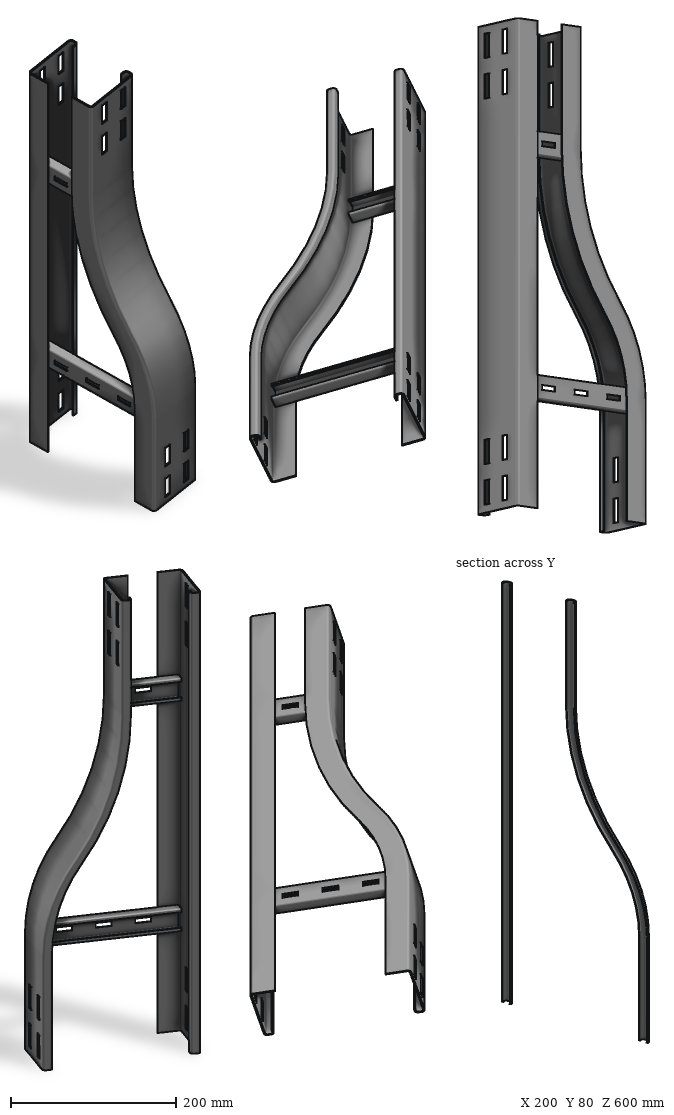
import cadquery as cq
import math

length = 600.0
wide_width = length / 3
narrow_width = wide_width / 2
depth = 0.4 * wide_width
hole_grid = length / 12

sheet = 1.9
bend_radius = 4.5
front_flange = 31.0
back_flange = 12.5
lip_depth = 9.5

bend_start = 150.0
bend_end = length - bend_start
upper_radius = 300.0
bend_rise = bend_end - bend_start
bend_shift = wide_width - narrow_width
bend_angle = 2 * math.atan(bend_shift / bend_rise)
lower_radius = bend_rise / math.sin(bend_angle) - upper_radius

slot_width = 9.0
slot_length = 30.0
slot_rows = (25.0, 60.0)
slot_pitch = hole_grid
slot_end_distance = hole_grid / 2

rung_height = 30.0
rung_depth = 15.0
rung_lip = 5.0
rung_bend_radius = 2.1
rung_clearance = 5.5
rung_slot_length = 20.0
rung_slot_width = 6.0
rung_slot_pitch = hole_grid

same_point = 0.005


def bent_strip(outer, inner, radius):
    """Closed outline of a bent sheet, from the corners of its outer and inner faces.

    radius is the bend radius of the outer face; both faces are rounded about the same centre.
    """
    corners = outer + inner[::-1]
    outline = cq.Wire.makePolygon([cq.Vector(*p) for p in corners], close=True)
    for face_corners, corner_radius in ((outer, radius), (inner, radius - sheet)):
        bends = [cq.Vector(*p) for p in face_corners[1:-1]]
        rounded = [
            vertex
            for vertex in outline.Vertices()
            if any((vertex.Center() - bend).Length < same_point for bend in bends)
        ]
        outline = outline.fillet2D(corner_radius, rounded)
    return outline


def rail_profile(web_x, side, z):
    """Rail section at height z; side is +1 or -1, the X direction in which the flanges point."""

    def point(reach, y):
        return (web_x + side * reach, y, z)

    outer = [
        point(front_flange, 0),
        point(0, 0),
        point(0, depth),
        point(back_flange, depth),
        point(back_flange, depth - lip_depth),
    ]
    inner = [
        point(front_flange, sheet),
        point(sheet, sheet),
        point(sheet, depth - sheet),
        point(back_flange - sheet, depth - sheet),
        point(back_flange - sheet, depth - lip_depth),
    ]
    return bent_strip(outer, inner, bend_radius)


def web_slots(web_x, end_distances):
    """Cutters for the slots through the web of a rail."""
    places = [(y, z) for y in slot_rows for z in end_distances]
    return (
        cq.Workplane("YZ", origin=(web_x, 0, 0))
        .pushPoints(places)
        .rect(slot_width, slot_length)
        .extrude(bend_radius, both=True)
    )


bottom_slots = [slot_end_distance, slot_end_distance + slot_pitch]
top_slots = [length - z for z in bottom_slots]


def make_straight_rail():
    """Straight rail along the X = 0 side."""
    profile = rail_profile(0, 1, 0)
    rail = cq.Workplane(cq.Solid.extrudeLinear(profile, [], cq.Vector(0, 0, length)))
    return rail.cut(web_slots(0, bottom_slots + top_slots))


def make_curved_rail():
    """Rail that leads from the wide bottom to the narrow top through an S-bend."""

    def arc_point(center_x, center_z, radius, angle):
        return (center_x + radius * math.cos(angle), center_z + radius * math.sin(angle))

    lower_center = (wide_width - lower_radius, bend_start)
    upper_center = (narrow_width + upper_radius, bend_end)
    path = (
        cq.Workplane("XZ")
        .moveTo(wide_width, 0)
        .lineTo(wide_width, bend_start)
        .threePointArc(
            arc_point(*lower_center, lower_radius, bend_angle / 2),
            arc_point(*lower_center, lower_radius, bend_angle),
        )
        .threePointArc(
            arc_point(*upper_center, upper_radius, math.pi + bend_angle / 2),
            (narrow_width, bend_end),
        )
        .lineTo(narrow_width, length)
    )
    profile = rail_profile(wide_width, -1, 0)
    rail = cq.Workplane(cq.Solid.sweep(profile, [], path.wire().val()))
    return rail.cut(web_slots(wide_width, bottom_slots)).cut(web_slots(narrow_width, top_slots))


def make_rung(z, ladder_width, slot_count):
    """Rung centred at height z, open to the back, with a row of slots through its front."""
    front = sheet
    back = front + rung_depth
    half = rung_height / 2
    start = rung_clearance

    outer = [
        (start, back, z - half + rung_lip),
        (start, back, z - half),
        (start, front, z - half),
        (start, front, z + half),
        (start, back, z + half),
        (start, back, z + half - rung_lip),
    ]
    inner = [
        (start, back - sheet, z - half + rung_lip),
        (start, back - sheet, z - half + sheet),
        (start, front + sheet, z - half + sheet),
        (start, front + sheet, z + half - sheet),
        (start, back - sheet, z + half - sheet),
        (start, back - sheet, z + half - rung_lip),
    ]
    profile = bent_strip(outer, inner, rung_bend_radius)
    span = ladder_width - 2 * rung_clearance
    rung = cq.Workplane(cq.Solid.extrudeLinear(profile, [], cq.Vector(span, 0, 0)))
    slots = (
        cq.Workplane("XZ", origin=(0, front + sheet, 0))
        .pushPoints([(rung_slot_pitch * (i + 1), z) for i in range(slot_count)])
        .rect(rung_slot_length, rung_slot_width)
        .extrude(sheet)
    )
    return rung.cut(slots)


straight_rail = make_straight_rail()
curved_rail = make_curved_rail()
rungs = [
    make_rung(z, ladder_width, slot_count)
    for z, ladder_width, slot_count in ((bend_start, wide_width, 3), (bend_end, narrow_width, 1))
]

result = cq.Compound.makeCompound([straight_rail.val(), curved_rail.val(), *[rung.val() for rung in rungs]])